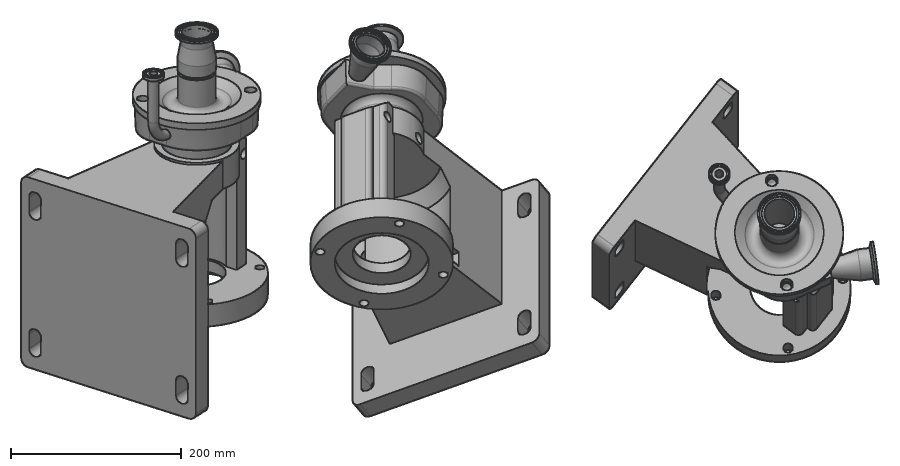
import cadquery as cq
import math


PLATE_SIZE = 250.0
PLATE_THICKNESS = 25.0
PLATE_FRONT_Y = -180.0
PLATE_BACK_Y = PLATE_FRONT_Y + PLATE_THICKNESS
PLATE_CORNER_RADIUS = 10.0
SLOT_WIDTH = 17.0
SLOT_LENGTH = 36.0
SLOT_PITCH_X = 210.0
SLOT_PITCH_Z = 180.0

HEAD_RADIUS = 50.0
HEAD_BOTTOM_Z = 213.0
HEAD_TOP_Z = 253.0
WALL_TOP_Z = PLATE_SIZE
WALL_BOTTOM_Z = 76.0
WALL_ROOT_HALF_WIDTH = 75.0
WALL_HEAD_Y = -15.0
WALL_HEAD_HALF_WIDTH = math.sqrt(HEAD_RADIUS**2 - WALL_HEAD_Y**2)
CAVITY_RADIUS = 85.0
CAVITY_ROOF_RADIUS = 70.0
CAVITY_CONE_Z = 194.0
WALL_FOOT_Y = -63.0
HEAD_HOLE_DIAMETER = 14.0
HEAD_HOLE_DEPTH = 15.0
HEAD_HOLE_Z = 225.5

RING_RADIUS = 83.5
RING_BOTTOM_Z = 54.0
RING_TOP_Z = 83.2
RING_BORE_RADIUS = 34.0
RECESS_RADIUS = 55.0
RECESS_DEPTH = 14.0
BOLT_CIRCLE_RADIUS = 75.0
BOLT_HOLE_DIAMETER = 11.0
NOTCH_END_Y = -78.0
NOTCH_TOP_Z = 104.0

PILLAR_WIDTH = 69.2
PILLAR_FRONT_Y = 32.0
PILLAR_BACK_Y = 56.0
PILLAR_FILLET = 6.6
PILLAR_HOLLOW_RADIUS = 37.7
RIB_WIDTH = 40.0
RIB_BACK_Y = 65.5
RIB_FILLET = 5.5
PILLAR_BEVEL_TOP_Y = 45.5
PILLAR_BEVEL_BOTTOM_Z = 237.0
PILLAR_HOLE_DIAMETER = 13.0
PILLAR_HOLE_Y = 47.2
PILLAR_HOLE_Z = 229.6

NECK_RADIUS = 41.0
NECK_TOP_Z = 264.6
NECK_FLARE_RADIUS = 48.0
NECK_FLARE_ARC = 11.0
CASING_BOTTOM_Z = 274.0
CASING_RADIUS = 63.6
FLAT_TOP_Y = 7.0
SHOULDER_END = (-38.0, 46.0)
CASING_DRAFT = 2.5
CASING_EDGE_FILLET = 3.0
LOBE_CENTRE = 24.0
LOBE_RADIUS = CASING_RADIUS - LOBE_CENTRE
COVER_BOTTOM_Z = 309.0
COVER_TOP_Z = 317.5
COVER_RADIUS = 75.0
DISH_RIM_RADIUS = 52.0
DISH_CONE_RADIUS = 40.4
DISH_CONE_Z = 309.0
DISH_FLOOR_Z = 304.5
DISH_FLOOR_RADIUS = 32.0
DISH_PIPE_Z = 312.0
COVER_HOLE_CIRCLE_RADIUS = 64.0
COVER_HOLE_DIAMETER = 14.0
COVER_HOLE_DEPTH = 12.0
COVER_HOLE_TIP_RADIUS = 5.3
COVER_HOLE_TIP_DEPTH = 3.2

FERRULE_RADIUS = 25.25
FERRULE_RIM = 2.9
FERRULE_BEVEL = 2.5
FERRULE_BORE_RADIUS = 17.5
FERRULE_NECK_RADIUS = 19.0
GROOVE_RADIUS = 21.8
GROOVE_WIDTH = 2.6
GROOVE_DEPTH = 1.5

INLET_TOP_Z = 399.6
INLET_NECK_Z = 385.5
INLET_SHOULDER_Z = 366.0
INLET_GROOVE_TOP_Z = 350.5
INLET_GROOVE_BOTTOM_Z = 347.0
INLET_GROOVE_RADIUS = 19.3
INLET_SLEEVE_RADIUS = 22.7
INLET_PIPE_RADIUS = 22.5
INLET_BORE_BOTTOM_Z = 295.0

OUTLET_Z = 291.0
OUTLET_FACE_DISTANCE = 107.9
OUTLET_SIDE = -44.5
OUTLET_ANGLE = 135.0
OUTLET_CONE_DISTANCE = 88.0
OUTLET_ROOT_DISTANCE = 50.0
OUTLET_NECK_RADIUS = 18.5
OUTLET_ROOT_RADIUS = 10.0
OUTLET_WALL = 2.0
OUTLET_CORNER = (4.0, 80.0)
OUTLET_FACE_LENGTH = 34.0

DRAIN_Y = -88.2
DRAIN_RADIUS = 6.4
DRAIN_BORE_RADIUS = 4.7
DRAIN_BEND_RADIUS = 29.0
DRAIN_BEND_Z = OUTLET_Z + DRAIN_BEND_RADIUS
DRAIN_TOP_Z = 381.9
DRAIN_FERRULE_RADIUS = 12.5
DRAIN_RIM = 4.2
DRAIN_BEVEL = 2.4
DRAIN_BEVEL_RADIUS = 8.5
DRAIN_GROOVE_RADIUS = 10.0
DRAIN_GROOVE_WIDTH = 2.2
DRAIN_GROOVE_DEPTH = 1.0


def revolved(profile):
    """Revolve a closed (radius, height) wire about the Z axis."""
    return profile.close().revolve(360, (0, 0, 0), (0, 1, 0))


def cylinder(radius, bottom, top):
    return cq.Workplane("XY").workplane(offset=bottom).circle(radius).extrude(top - bottom)


def make_plate():
    plate = (
        cq.Workplane("XY")
        .box(PLATE_SIZE, PLATE_THICKNESS, PLATE_SIZE, centered=(True, False, False))
        .edges("|Y")
        .fillet(PLATE_CORNER_RADIUS)
        .translate((0, PLATE_FRONT_Y, 0))
    )
    slots = (
        cq.Workplane("XZ", origin=(0, PLATE_BACK_Y, PLATE_SIZE / 2))
        .rarray(SLOT_PITCH_X, SLOT_PITCH_Z, 2, 2)
        .slot2D(SLOT_LENGTH, SLOT_WIDTH, 90)
        .extrude(PLATE_THICKNESS)
    )
    return plate.cut(slots)


def make_bracket():
    wall = (
        cq.Workplane("XY", origin=(0, 0, WALL_BOTTOM_Z))
        .moveTo(-WALL_ROOT_HALF_WIDTH, PLATE_BACK_Y)
        .lineTo(WALL_ROOT_HALF_WIDTH, PLATE_BACK_Y)
        .lineTo(WALL_HEAD_HALF_WIDTH, WALL_HEAD_Y)
        .lineTo(-WALL_HEAD_HALF_WIDTH, WALL_HEAD_Y)
        .close()
        .extrude(WALL_TOP_Z - WALL_BOTTOM_Z)
    )
    cavity = revolved(
        cq.Workplane("XZ")
        .moveTo(0, RING_TOP_Z)
        .lineTo(CAVITY_RADIUS, RING_TOP_Z)
        .lineTo(CAVITY_RADIUS, CAVITY_CONE_Z)
        .lineTo(CAVITY_ROOF_RADIUS, HEAD_BOTTOM_Z)
        .lineTo(0, HEAD_BOTTOM_Z)
    )
    foot_clearance = (
        cq.Workplane("XY", origin=(0, WALL_FOOT_Y, WALL_BOTTOM_Z))
        .box(
            2 * WALL_ROOT_HALF_WIDTH,
            -WALL_FOOT_Y,
            RING_TOP_Z - WALL_BOTTOM_Z,
            centered=(True, False, False),
        )
    )
    notch = (
        cq.Workplane("XY", origin=(-WALL_ROOT_HALF_WIDTH, NOTCH_END_Y, RING_TOP_Z))
        .box(WALL_ROOT_HALF_WIDTH, -NOTCH_END_Y, NOTCH_TOP_Z - RING_TOP_Z, centered=False)
    )
    head = cylinder(HEAD_RADIUS, HEAD_BOTTOM_Z, HEAD_TOP_Z)
    head_hole = (
        cq.Workplane("YZ", origin=(-HEAD_RADIUS, 0, HEAD_HOLE_Z))
        .circle(HEAD_HOLE_DIAMETER / 2)
        .extrude(HEAD_HOLE_DEPTH)
    )
    return wall.cut(cavity).cut(foot_clearance).cut(notch).union(head).cut(head_hole)


def make_pillar():
    height = HEAD_TOP_Z - RING_TOP_Z
    pillar = (
        cq.Workplane("XY", origin=(0, PILLAR_FRONT_Y, RING_TOP_Z))
        .box(PILLAR_WIDTH, PILLAR_BACK_Y - PILLAR_FRONT_Y, height, centered=(True, False, False))
        .edges("|Z and >Y")
        .fillet(PILLAR_FILLET)
    )
    rib = (
        cq.Workplane("XY", origin=(0, PILLAR_FRONT_Y, RING_TOP_Z))
        .box(RIB_WIDTH, RIB_BACK_Y - PILLAR_FRONT_Y, height, centered=(True, False, False))
        .edges("|Z and >Y")
        .fillet(RIB_FILLET)
    )
    hollow = cylinder(PILLAR_HOLLOW_RADIUS, RING_TOP_Z, HEAD_BOTTOM_Z)
    bevel = (
        cq.Workplane("YZ", origin=(-PILLAR_WIDTH / 2, 0, 0))
        .moveTo(PILLAR_BEVEL_TOP_Y, HEAD_TOP_Z)
        .lineTo(RIB_BACK_Y, HEAD_TOP_Z)
        .lineTo(RIB_BACK_Y, PILLAR_BEVEL_BOTTOM_Z)
        .close()
        .extrude(PILLAR_WIDTH)
    )
    hole = (
        cq.Workplane("YZ", origin=(-PILLAR_WIDTH / 2, PILLAR_HOLE_Y, PILLAR_HOLE_Z))
        .circle(PILLAR_HOLE_DIAMETER / 2)
        .extrude(PILLAR_WIDTH)
    )
    return pillar.union(rib).cut(hollow), bevel, hole


def make_ring():
    ring = cylinder(RING_RADIUS, RING_BOTTOM_Z, RING_TOP_Z)
    bore = cylinder(RING_BORE_RADIUS, RING_BOTTOM_Z, RING_TOP_Z)
    recess = cylinder(RECESS_RADIUS, RING_BOTTOM_Z, RING_BOTTOM_Z + RECESS_DEPTH)
    bolt_holes = (
        cq.Workplane("XY", origin=(0, 0, RING_BOTTOM_Z))
        .polarArray(BOLT_CIRCLE_RADIUS, 45, 360, 4)
        .circle(BOLT_HOLE_DIAMETER / 2)
        .extrude(RING_TOP_Z - RING_BOTTOM_Z)
    )
    return ring.cut(bore).cut(recess), bolt_holes


def make_neck():
    return revolved(
        cq.Workplane("XZ")
        .moveTo(0, HEAD_TOP_Z)
        .lineTo(NECK_RADIUS, HEAD_TOP_Z)
        .lineTo(NECK_RADIUS, NECK_TOP_Z)
        .radiusArc((NECK_FLARE_RADIUS, CASING_BOTTOM_Z), NECK_FLARE_ARC)
        .lineTo(0, CASING_BOTTOM_Z)
    )


def make_casing_body():
    """Round body with a lobe under each cover hole, a shoulder and a flat face for the outlet."""
    diagonal = math.cos(math.radians(45))
    lobe_tip = LOBE_CENTRE + LOBE_RADIUS * diagonal
    corner_x, corner_y = OUTLET_CORNER

    to_lobe_x = LOBE_CENTRE - corner_x
    to_lobe_y = LOBE_CENTRE - corner_y
    normal_angle = (
        math.atan2(-to_lobe_y, -to_lobe_x)
        - math.acos(LOBE_RADIUS / math.hypot(to_lobe_x, to_lobe_y))
    )
    tangent = (
        LOBE_CENTRE + LOBE_RADIUS * math.cos(normal_angle),
        LOBE_CENTRE + LOBE_RADIUS * math.sin(normal_angle),
    )
    lobe_mid_angle = normal_angle / 2
    lobe_middle = (
        LOBE_CENTRE + LOBE_RADIUS * math.cos(lobe_mid_angle),
        LOBE_CENTRE + LOBE_RADIUS * math.sin(lobe_mid_angle),
    )

    face_end = (corner_x - OUTLET_FACE_LENGTH * diagonal, corner_y - OUTLET_FACE_LENGTH * diagonal)
    round_middle = CASING_RADIUS * diagonal

    shoulder_x, shoulder_y = SHOULDER_END
    arc_width = shoulder_x + CASING_RADIUS
    arc_height = shoulder_y - FLAT_TOP_Y
    arc_radius = (arc_width**2 + arc_height**2) / (2 * arc_width)

    body = (
        cq.Workplane("XY", origin=(0, 0, COVER_BOTTOM_Z))
        .moveTo(-CASING_RADIUS, FLAT_TOP_Y)
        .lineTo(-CASING_RADIUS, -LOBE_CENTRE)
        .threePointArc((-lobe_tip, -lobe_tip), (-LOBE_CENTRE, -CASING_RADIUS))
        .lineTo(0, -CASING_RADIUS)
        .threePointArc((round_middle, -round_middle), (CASING_RADIUS, 0))
        .lineTo(CASING_RADIUS, LOBE_CENTRE)
        .threePointArc(lobe_middle, tangent)
        .lineTo(corner_x, corner_y)
        .lineTo(*face_end)
        .lineTo(shoulder_x, shoulder_y)
        .radiusArc((-CASING_RADIUS, FLAT_TOP_Y), -arc_radius)
        .close()
        .extrude(CASING_BOTTOM_Z - COVER_BOTTOM_Z, taper=CASING_DRAFT)
    )
    return body.faces("<Z").edges().fillet(CASING_EDGE_FILLET)


def make_casing():
    cover = cylinder(COVER_RADIUS, COVER_BOTTOM_Z, COVER_TOP_Z)
    dish = revolved(
        cq.Workplane("XZ")
        .moveTo(INLET_PIPE_RADIUS, COVER_TOP_Z)
        .lineTo(DISH_RIM_RADIUS, COVER_TOP_Z)
        .lineTo(DISH_CONE_RADIUS, DISH_CONE_Z)
        .threePointArc((DISH_FLOOR_RADIUS, DISH_FLOOR_Z), (INLET_PIPE_RADIUS, DISH_PIPE_Z))
    )
    casing = make_casing_body().union(make_neck()).union(cover).cut(dish)
    for direction in (1, -1):
        along = direction * COVER_HOLE_CIRCLE_RADIUS * math.cos(math.radians(45))
        casing = casing.cut(make_cover_hole().translate((along, along, COVER_TOP_Z)))
    return casing


def make_cover_hole():
    """Blind hole with a smaller drill tip, its mouth at the origin."""
    return revolved(
        cq.Workplane("XZ")
        .lineTo(COVER_HOLE_DIAMETER / 2, 0)
        .lineTo(COVER_HOLE_DIAMETER / 2, -COVER_HOLE_DEPTH)
        .lineTo(COVER_HOLE_TIP_RADIUS, -COVER_HOLE_DEPTH)
        .lineTo(0, -COVER_HOLE_DEPTH - COVER_HOLE_TIP_DEPTH)
    )


def ring_groove(radius, width, depth, top):
    outside = cylinder(radius + width / 2, top - depth, top)
    return outside.cut(cylinder(radius - width / 2, top - depth, top))


def gasket_groove(top):
    return ring_groove(GROOVE_RADIUS, GROOVE_WIDTH, GROOVE_DEPTH, top)


def make_inlet():
    rim_z = INLET_TOP_Z - FERRULE_RIM
    pipe = revolved(
        cq.Workplane("XZ")
        .moveTo(0, INLET_TOP_Z)
        .lineTo(FERRULE_RADIUS, INLET_TOP_Z)
        .lineTo(FERRULE_RADIUS, rim_z)
        .lineTo(FERRULE_NECK_RADIUS, rim_z - FERRULE_BEVEL)
        .lineTo(FERRULE_NECK_RADIUS, INLET_NECK_Z)
        .lineTo(INLET_SLEEVE_RADIUS, INLET_SHOULDER_Z)
        .lineTo(INLET_SLEEVE_RADIUS, INLET_GROOVE_TOP_Z)
        .lineTo(INLET_GROOVE_RADIUS, INLET_GROOVE_TOP_Z)
        .lineTo(INLET_GROOVE_RADIUS, INLET_GROOVE_BOTTOM_Z)
        .lineTo(INLET_PIPE_RADIUS, INLET_GROOVE_BOTTOM_Z)
        .lineTo(INLET_PIPE_RADIUS, INLET_BORE_BOTTOM_Z)
        .lineTo(0, INLET_BORE_BOTTOM_Z)
    )
    bore = cylinder(FERRULE_BORE_RADIUS, INLET_BORE_BOTTOM_Z, INLET_TOP_Z)
    return pipe.cut(gasket_groove(INLET_TOP_Z)), bore


def outlet_placed(shape):
    """Tip a shape drawn along Z over to the outlet direction and move it beside the axis."""
    tipped = shape.rotate((0, 0, 0), (0, 1, 0), 90).translate((0, OUTLET_SIDE, 0))
    return tipped.rotate((0, 0, 0), (0, 0, 1), OUTLET_ANGLE).translate((0, 0, OUTLET_Z))


def make_outlet():
    rim_start = OUTLET_FACE_DISTANCE - FERRULE_RIM
    nozzle = revolved(
        cq.Workplane("XZ")
        .moveTo(0, OUTLET_FACE_DISTANCE)
        .lineTo(FERRULE_RADIUS, OUTLET_FACE_DISTANCE)
        .lineTo(FERRULE_RADIUS, rim_start)
        .lineTo(OUTLET_NECK_RADIUS, rim_start - FERRULE_BEVEL)
        .lineTo(OUTLET_NECK_RADIUS, OUTLET_CONE_DISTANCE)
        .lineTo(OUTLET_ROOT_RADIUS, OUTLET_ROOT_DISTANCE)
        .lineTo(0, OUTLET_ROOT_DISTANCE)
    )
    nozzle = nozzle.cut(gasket_groove(OUTLET_FACE_DISTANCE))
    bore = revolved(
        cq.Workplane("XZ")
        .moveTo(0, OUTLET_FACE_DISTANCE)
        .lineTo(FERRULE_BORE_RADIUS, OUTLET_FACE_DISTANCE)
        .lineTo(FERRULE_BORE_RADIUS, OUTLET_CONE_DISTANCE)
        .lineTo(OUTLET_ROOT_RADIUS - OUTLET_WALL, OUTLET_ROOT_DISTANCE)
        .lineTo(0, OUTLET_ROOT_DISTANCE)
    )
    return outlet_placed(nozzle), outlet_placed(bore)


def drain_sweep(radius):
    bend_start_y = DRAIN_Y + DRAIN_BEND_RADIUS
    diagonal = DRAIN_BEND_RADIUS * math.cos(math.radians(45))
    path = (
        cq.Workplane("YZ")
        .moveTo(bend_start_y, OUTLET_Z)
        .threePointArc((bend_start_y - diagonal, DRAIN_BEND_Z - diagonal), (DRAIN_Y, DRAIN_BEND_Z))
        .lineTo(DRAIN_Y, DRAIN_TOP_Z)
    )
    return cq.Workplane("XZ", origin=(0, bend_start_y, OUTLET_Z)).circle(radius).sweep(path)


def make_drain():
    rim_z = DRAIN_TOP_Z - DRAIN_RIM
    ferrule = revolved(
        cq.Workplane("XZ")
        .moveTo(0, DRAIN_TOP_Z)
        .lineTo(DRAIN_FERRULE_RADIUS, DRAIN_TOP_Z)
        .lineTo(DRAIN_FERRULE_RADIUS, rim_z)
        .lineTo(DRAIN_BEVEL_RADIUS, rim_z - DRAIN_BEVEL)
        .lineTo(0, rim_z - DRAIN_BEVEL)
    )
    groove = ring_groove(DRAIN_GROOVE_RADIUS, DRAIN_GROOVE_WIDTH, DRAIN_GROOVE_DEPTH, DRAIN_TOP_Z)
    ferrule = ferrule.cut(groove).translate((0, DRAIN_Y, 0))
    return drain_sweep(DRAIN_RADIUS).union(ferrule), drain_sweep(DRAIN_BORE_RADIUS)


pillar, pillar_bevel, pillar_hole = make_pillar()
ring, bolt_holes = make_ring()
inlet, inlet_bore = make_inlet()
outlet, outlet_bore = make_outlet()
drain, drain_bore = make_drain()

result = make_plate().union(make_bracket()).union(ring)
result = result.union(pillar).cut(pillar_bevel)
result = result.union(make_casing()).union(inlet).union(outlet).union(drain)
for opening in (pillar_hole, bolt_holes, inlet_bore, outlet_bore, drain_bore):
    result = result.cut(opening)